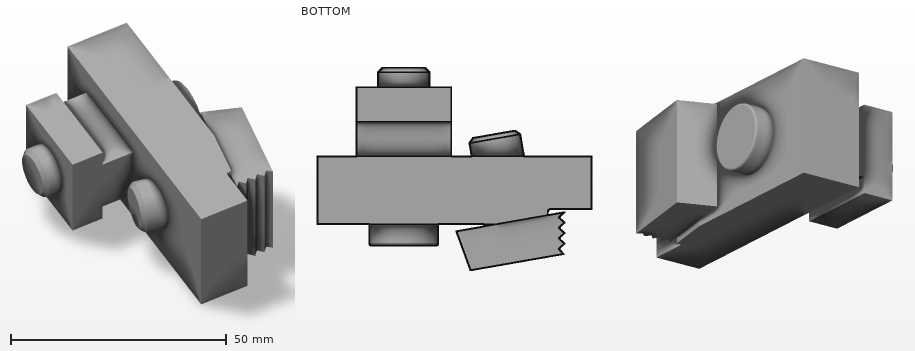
import cadquery as cq
import math

block_length = 63.5
block_depth = 15.7
block_height = 28.5

tilt = 10.0
step_x = 53.4
step_y = 12.25
step_fillet = 0.6

jaw_length = 25.5
jaw_thickness = 9.5
jaw_height = 25.5
jaw_heel_x = 32.15
jaw_heel_y = 17.37
jaw_heel_rake = 20.0
tooth_count = 4
tooth_pitch = 2.43
tooth_depth = 1.35
last_tip_setback = 0.25

screw_x = 20.0
nut_width = 22.0
neck_height = 14.0
neck_depth = 8.0
nut_depth = 16.0
screw_diameter = 12.0
screw_end_y = -20.5
end_chamfer = 1.05
head_diameter = 16.0
head_rise = 5.0
head_fillet = 0.5

pin_diameter = 12.0
pin_end_x = 40.9
pin_end_y = -5.1
pin_length = 25.0

sin_tilt = math.sin(math.radians(tilt))
cos_tilt = math.cos(math.radians(tilt))
tan_tilt = math.tan(math.radians(tilt))


def prism(points, height):
    """Extrude an XY outline symmetrically about Z = 0."""
    return cq.Workplane("XY").polyline(points).close().extrude(height / 2, both=True)


def cylinder(diameter, length, start, direction):
    """Cylinder from a start point along a direction in the XY plane."""
    plane = cq.Plane(origin=(*start, 0), xDir=(0, 0, 1), normal=(*direction, 0))
    return cq.Workplane(plane).circle(diameter / 2).extrude(length)


def seat_y(x):
    """Y of the inclined seat plane at a given X."""
    return jaw_heel_y - (x - jaw_heel_x) * tan_tilt


def make_block():
    seat_start_x = jaw_heel_x + (jaw_heel_y - block_depth) / tan_tilt
    outline = [
        (0, 0),
        (block_length, 0),
        (block_length, step_y),
        (step_x, step_y),
        (step_x, seat_y(step_x)),
        (seat_start_x, block_depth),
        (0, block_depth),
    ]
    block = prism(outline, block_height)
    step_corner = cq.selectors.NearestToPointSelector((step_x, step_y, 0))
    return block.edges("|Z").edges(step_corner).fillet(step_fillet)


def make_jaw():
    tip_x = jaw_heel_x + jaw_length * cos_tilt
    toe_y = seat_y(tip_x)
    outline = [(jaw_heel_x, jaw_heel_y), (tip_x, toe_y)]
    for tooth in range(tooth_count):
        valley_y = toe_y + (tooth + 0.5) * tooth_pitch
        next_tip_y = toe_y + (tooth + 1) * tooth_pitch
        is_last = tooth == tooth_count - 1
        next_tip_x = tip_x - last_tip_setback if is_last else tip_x
        outline.append((tip_x - tooth_depth, valley_y))
        outline.append((next_tip_x, next_tip_y))
    heel_edge = jaw_thickness / math.cos(math.radians(jaw_heel_rake - tilt))
    back_heel_x = jaw_heel_x + heel_edge * math.sin(math.radians(jaw_heel_rake))
    back_heel_y = jaw_heel_y + heel_edge * math.cos(math.radians(jaw_heel_rake))
    outline.append((back_heel_x, back_heel_y))
    return prism(outline, jaw_height)


def make_nut():
    neck = cq.Workplane("XY").box(nut_width, neck_depth, neck_height)
    flange_depth = nut_depth - neck_depth
    flange = cq.Workplane("XY").box(nut_width, flange_depth, nut_width)
    neck = neck.translate((screw_x, -neck_depth / 2, 0))
    flange = flange.translate((screw_x, -neck_depth - flange_depth / 2, 0))
    return neck.union(flange)


def make_screw():
    shank_length = block_depth - screw_end_y
    shank = cylinder(screw_diameter, shank_length, (screw_x, screw_end_y), (0, 1))
    shank = shank.faces("<Y").chamfer(end_chamfer)
    head = cylinder(head_diameter, head_rise, (screw_x, block_depth), (0, 1))
    head = head.faces(">Y").edges().fillet(head_fillet)
    return shank.union(head)


def make_pin():
    pin = cylinder(pin_diameter, pin_length, (pin_end_x, pin_end_y), (sin_tilt, cos_tilt))
    return pin.faces("<Y").chamfer(end_chamfer)


result = make_block().union(make_jaw()).union(make_nut()).union(make_screw()).union(make_pin())